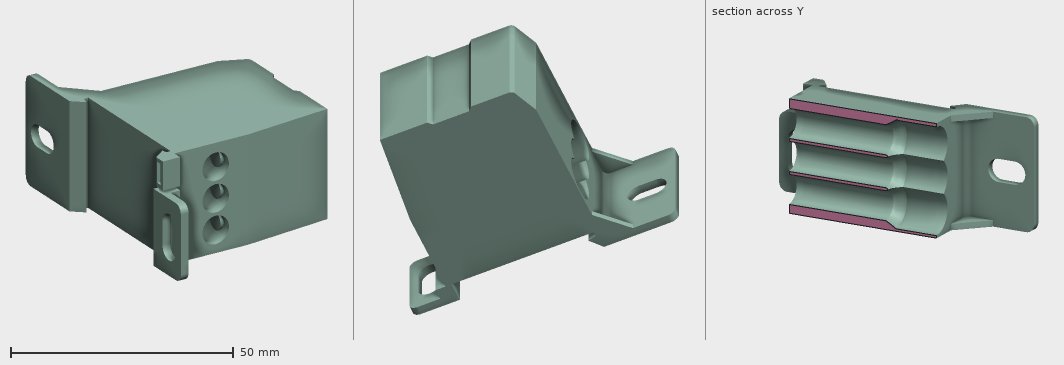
import cadquery as cq
import math

length = 65.5
depth = 46.8
height = 27.2

wall_left = 17.5
wall_right = 55.5
rail_floor = 4.6
left_bevel_start = 40.1
left_bevel_run = 2.9
left_bevel_radius = 1.3
right_taper_start = 24.25
right_taper_run = 2.5
back_notch_left = 30.5
back_notch_right = 41.3
back_notch_depth = 1.0

foot_thickness = 2.0
foot_corner_radius = 2.0
slot_width = 5.5
left_slot_length = 9.55
left_slot_x = 7.0
left_slot_z = 13.5
right_slot_length = 11.45
right_slot_x = 60.5
right_foot_height = 19.0

gusset_size = 7.0
gusset_thickness = 1.5
foot_fillet = 1.6

hook_throat_y = 3.5
left_throat_x = 19.05
left_hook_tip = (21.0, 2.95)
left_hook_base_x = 18.5
right_throat_x = 54.0
right_hook_tip = (52.7, 3.15)
right_hook_base_x = 55.0
right_hook_radius = 1.0

clip_right = 57.9
clip_height = 7.15
clip_wall = 1.0
clip_lip_width = 0.4
clip_lip_thickness = 1.0

entry_y = 15.6
entry_middle_z = 13.5
entry_pitch = 7.8
entry_count = 3
entry_mouth_diameter = 10.0
entry_diameter = 7.0
entry_mouth_length = 10.5
entry_taper_length = 2.6
screw_diameter = 4.5
screw_x = 51.1
screw_tip_y = 18.2
screw_embed = 2.6


def prism(points, bottom, top):
    """Closed XY outline extruded between two Z levels."""
    return cq.Workplane("XY").workplane(offset=bottom).polyline(points).close().extrude(top - bottom)


def box(x_range, y_range, z_range):
    """Box given by its lower and upper limit on each axis."""
    lower, upper = zip(x_range, y_range, z_range)
    size = [high - low for low, high in zip(lower, upper)]
    return cq.Workplane("XY").box(*size, centered=False).translate(lower)


def slot_cutter(x, z, slot_length, angle):
    """Obround through a foot, starting at the mounting face; 0 degrees lies along X."""
    profile = cq.Workplane("XZ").center(x, z).slot2D(slot_length, slot_width, angle)
    return profile.extrude(-foot_thickness)


def housing():
    bevel_corner_x = wall_left + left_bevel_run
    notch_floor = depth - back_notch_depth
    outline = [
        (wall_left, rail_floor),
        (wall_right, rail_floor),
        (wall_right, right_taper_start),
        (wall_right - right_taper_run, depth),
        (back_notch_right, depth),
        (back_notch_right - back_notch_depth, notch_floor),
        (back_notch_left + back_notch_depth, notch_floor),
        (back_notch_left, depth),
        (bevel_corner_x, depth),
        (wall_left, left_bevel_start),
    ]
    body = prism(outline, 0, height)
    bevel_edge = cq.selectors.NearestToPointSelector((bevel_corner_x, depth, height / 2))
    return body.edges("|Z").edges(bevel_edge).fillet(left_bevel_radius)


def left_foot():
    outline = [
        (0, 0),
        (left_hook_base_x, 0),
        left_hook_tip,
        (left_throat_x, hook_throat_y),
        (left_throat_x, rail_floor),
        (wall_left, rail_floor),
        (wall_left, foot_thickness),
        (0, foot_thickness),
    ]
    foot = prism(outline, 0, height).edges("|Y and <X").fillet(foot_corner_radius)
    return foot.cut(slot_cutter(left_slot_x, left_slot_z, left_slot_length, 0))


def gussets():
    triangle = [
        (wall_left, foot_thickness),
        (wall_left, foot_thickness + gusset_size),
        (wall_left - gusset_size, foot_thickness),
    ]
    lower = prism(triangle, 0, gusset_thickness)
    upper = prism(triangle, height - gusset_thickness, height)
    return lower.union(upper)


def foot_root_fillet():
    """Concave fillet where the left foot meets the housing wall."""
    diagonal = foot_fillet * (1 - math.sqrt(0.5))
    return (
        cq.Workplane("XY")
        .moveTo(wall_left, foot_thickness)
        .lineTo(wall_left, foot_thickness + foot_fillet)
        .threePointArc(
            (wall_left - diagonal, foot_thickness + diagonal),
            (wall_left - foot_fillet, foot_thickness),
        )
        .close()
        .extrude(height)
    )


def right_foot():
    block = box((right_throat_x, clip_right), (0, rail_floor), (0, right_foot_height))
    plate = box((right_throat_x, length), (0, foot_thickness), (0, right_foot_height))
    plate = plate.edges("|Y and >X").fillet(foot_corner_radius)
    cutter = slot_cutter(right_slot_x, right_foot_height / 2, right_slot_length, 90)
    return block.union(plate).cut(cutter)


def release_clip():
    clip_bottom = height - clip_height
    outline = [
        (right_hook_base_x, 0),
        (clip_right, 0),
        (clip_right, rail_floor),
        (right_throat_x, rail_floor),
        (right_throat_x, hook_throat_y),
        right_hook_tip,
    ]
    clip = prism(outline, clip_bottom, height)
    base_edge = cq.selectors.NearestToPointSelector((right_hook_base_x, 0, height - clip_height / 2))
    clip = clip.edges("|Z").edges(base_edge).fillet(right_hook_radius)

    window_right = clip_right - clip_wall
    window_z = (clip_bottom + clip_wall, height - clip_wall)
    lip_y = rail_floor - clip_lip_thickness
    wide_part = box((wall_right, window_right), (0, lip_y), window_z)
    narrow_part = box((wall_right, window_right - clip_lip_width), (lip_y, rail_floor), window_z)
    return clip.cut(wide_part).cut(narrow_part)


def wire_entry(z):
    """Wide bore from the left wall that narrows in a funnel and runs out of the right wall."""
    taper_start = wall_left + entry_mouth_length
    taper_end = taper_start + entry_taper_length
    axis_start = (wall_left, entry_y)
    axis_end = (wall_right, entry_y)
    return (
        cq.Workplane("XY")
        .workplane(offset=z)
        .polyline([
            axis_start,
            (wall_left, entry_y + entry_mouth_diameter / 2),
            (taper_start, entry_y + entry_mouth_diameter / 2),
            (taper_end, entry_y + entry_diameter / 2),
            (wall_right, entry_y + entry_diameter / 2),
            axis_end,
        ])
        .close()
        .revolve(360, axis_start, axis_end)
    )


def clamp_screw(z):
    """Screw tip standing in a wire entry, rooted in the housing above it."""
    screw_top = entry_y + entry_diameter / 2 + screw_embed
    plane = cq.Workplane("XZ", origin=(screw_x, screw_tip_y, z))
    return plane.circle(screw_diameter / 2).extrude(screw_tip_y - screw_top)


result = housing()
for piece in (left_foot(), gussets(), foot_root_fillet(), right_foot(), release_clip()):
    result = result.union(piece)

entry_levels = [entry_middle_z + (i - (entry_count - 1) / 2) * entry_pitch for i in range(entry_count)]
for level in entry_levels:
    result = result.cut(wire_entry(level))
for level in entry_levels:
    result = result.union(clamp_screw(level))